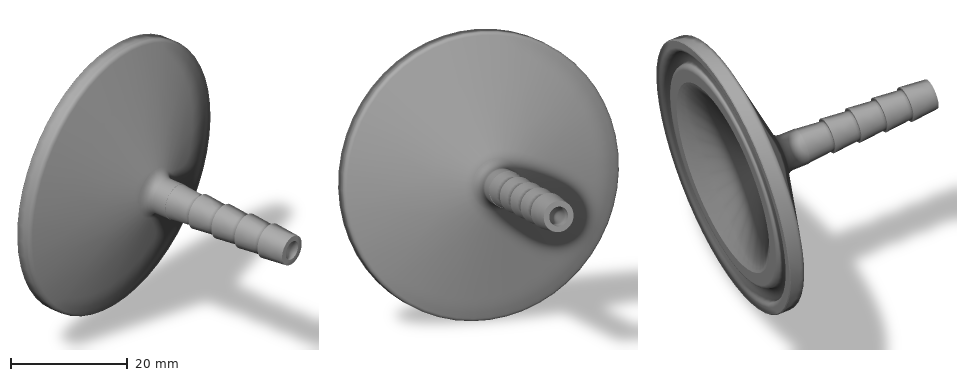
import cadquery as cq
import math

OVERALL_LENGTH = 40.0
BARB_COUNT = 5
BARB_LENGTH = 5.0
BARBS_START = OVERALL_LENGTH - BARB_COUNT * BARB_LENGTH

FLANGE_RADIUS = 25.25
RIM_LENGTH = 2.2
RIM_BACK_ROUND = 0.8
RIM_FRONT_CHAMFER = 0.15
CONE_ANGLE = math.radians(20)

TAIL_RADIUS = 3.25
BARB_RIDGE_RADIUS = 3.2
BARB_TIP_RADIUS = 2.75
NECK_FILLET = 2.0

MOUTH_RADIUS = 17.45
BORE_RADIUS = 1.7
MOUTH_DEPTH = 7.4

GROOVE_RADIUS = 21.75
GROOVE_HALF_WIDTH = 2.0
GROOVE_LIP_ROUND = 0.8
GROOVE_FLOOR_ROUND = 1.15
GROOVE_WALL_ANGLE = math.radians(75)


def revolve_about_x(profile):
    return profile.close().revolve(360, (0, 0, 0), (1, 0, 0))


def arc_point(center, radius, angle):
    """Point on an arc, with the angle measured from the axis direction outwards."""
    return (center[0] + radius * math.cos(angle), center[1] + radius * math.sin(angle))


def outer_body():
    """Flange, conical back, neck and barbed tail as one solid of revolution."""
    round_center = (RIM_LENGTH, FLANGE_RADIUS - RIM_BACK_ROUND)
    round_middle = arc_point(round_center, RIM_BACK_ROUND, (math.pi / 2 + CONE_ANGLE) / 2)
    cone_start = arc_point(round_center, RIM_BACK_ROUND, CONE_ANGLE)

    fillet_center_radius = TAIL_RADIUS + NECK_FILLET
    cone_end_radius = fillet_center_radius - NECK_FILLET * math.sin(CONE_ANGLE)
    cone_end_x = cone_start[0] + (cone_start[1] - cone_end_radius) * math.tan(CONE_ANGLE)
    fillet_center = (cone_end_x + NECK_FILLET * math.cos(CONE_ANGLE), fillet_center_radius)
    fillet_middle_angle = (math.pi + CONE_ANGLE + 1.5 * math.pi) / 2
    fillet_middle = arc_point(fillet_center, NECK_FILLET, fillet_middle_angle)

    profile = (
        cq.Workplane("XZ")
        .lineTo(0, FLANGE_RADIUS - RIM_FRONT_CHAMFER)
        .lineTo(RIM_FRONT_CHAMFER, FLANGE_RADIUS)
        .lineTo(RIM_LENGTH, FLANGE_RADIUS)
        .threePointArc(round_middle, cone_start)
        .lineTo(cone_end_x, cone_end_radius)
        .threePointArc(fillet_middle, (fillet_center[0], TAIL_RADIUS))
    )
    profile = profile.lineTo(BARBS_START, TAIL_RADIUS)
    for barb in range(BARB_COUNT):
        start = BARBS_START + barb * BARB_LENGTH
        profile = profile.lineTo(start, BARB_RIDGE_RADIUS)
        profile = profile.lineTo(start + BARB_LENGTH, BARB_TIP_RADIUS)
    return revolve_about_x(profile.lineTo(OVERALL_LENGTH, 0))


def inner_passage():
    """Conical mouth narrowing into the through bore."""
    return revolve_about_x(
        cq.Workplane("XZ")
        .lineTo(0, MOUTH_RADIUS)
        .lineTo(MOUTH_DEPTH, BORE_RADIUS)
        .lineTo(OVERALL_LENGTH, BORE_RADIUS)
        .lineTo(OVERALL_LENGTH, 0)
    )


def gasket_groove():
    """Symmetric ring groove: rounded lips, steep walls and a round floor."""
    sine = math.sin(GROOVE_WALL_ANGLE)
    cosine = math.cos(GROOVE_WALL_ANGLE)
    half_sine = math.sin(GROOVE_WALL_ANGLE / 2)
    half_cosine = math.cos(GROOVE_WALL_ANGLE / 2)

    lip_middle = (
        GROOVE_LIP_ROUND * (1 - half_cosine),
        GROOVE_HALF_WIDTH - GROOVE_LIP_ROUND * half_sine,
    )
    wall_top = (GROOVE_LIP_ROUND * (1 - cosine), GROOVE_HALF_WIDTH - GROOVE_LIP_ROUND * sine)
    floor_half_width = GROOVE_FLOOR_ROUND * sine
    wall_depth = (wall_top[1] - floor_half_width) * math.tan(GROOVE_WALL_ANGLE)
    wall_bottom = (wall_top[0] + wall_depth, floor_half_width)
    floor = (wall_bottom[0] + GROOVE_FLOOR_ROUND * (1 - cosine), 0)

    def outward(point):
        return (point[0], GROOVE_RADIUS + point[1])

    def inward(point):
        return (point[0], GROOVE_RADIUS - point[1])

    return revolve_about_x(
        cq.Workplane("XZ")
        .moveTo(0, GROOVE_RADIUS + GROOVE_HALF_WIDTH)
        .threePointArc(outward(lip_middle), outward(wall_top))
        .lineTo(*outward(wall_bottom))
        .threePointArc(outward(floor), inward(wall_bottom))
        .lineTo(*inward(wall_top))
        .threePointArc(inward(lip_middle), (0, GROOVE_RADIUS - GROOVE_HALF_WIDTH))
    )


result = outer_body().cut(inner_passage()).cut(gasket_groove())